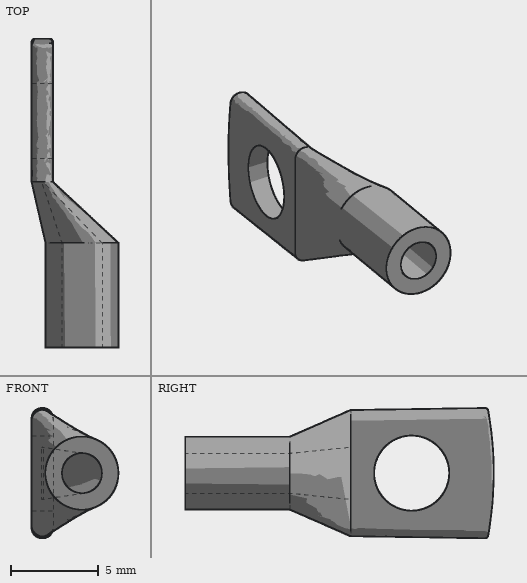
import cadquery as cq
import math

barrel_diameter = 4.2
bore_diameter = 2.3
barrel_length = 6.0
transition_length = 3.5
overall_length = 17.72
overall_width = 5.0

palm_thickness = 1.25
palm_root_height = 7.26
palm_tip_height = 7.51
tip_arc_radius = 20.0
tip_edge_fillet = 0.2

stud_hole_diameter = 4.3
stud_hole_y = 13.0

slit_thickness = 0.1
slit_height = 3.0

barrel_radius = barrel_diameter / 2
barrel_axis_x = overall_width - barrel_radius
palm_mid_x = palm_thickness / 2
palm_root_y = barrel_length + transition_length


def section_plane(y, x):
    """Cross-section plane at distance y along the part, with its local x along global X."""
    return cq.Plane(origin=(x, y, 0), xDir=(1, 0, 0), normal=(0, -1, 0))


def flat_section(y, height, thickness):
    """Upright flat bar section with fully rounded top and bottom edges."""
    half = thickness / 2
    straight = height / 2 - half
    outline = (
        cq.Workplane(section_plane(y, palm_mid_x))
        .moveTo(half, -straight)
        .lineTo(half, straight)
        .threePointArc((0, height / 2), (-half, straight))
        .lineTo(-half, -straight)
        .threePointArc((0, -height / 2), (half, -straight))
        .close()
    )
    return outline.val()


def round_section(y, diameter, flat_height, flat_thickness):
    """Circle on the barrel axis, split into four arcs that pair with a flat section.

    The arcs share the circle in the same ratio as the straight sides and rounded
    edges share the flat outline, so a loft between the two spreads evenly.
    """
    radius = diameter / 2
    straight_length = flat_height - flat_thickness
    edge_length = math.pi * flat_thickness / 2
    split_angle = 90 * straight_length / (straight_length + edge_length)

    def point(angle):
        return (radius * math.cos(math.radians(angle)), radius * math.sin(math.radians(angle)))

    outline = cq.Workplane(section_plane(y, barrel_axis_x)).moveTo(*point(-split_angle))
    for middle, end in (
        (0, split_angle),
        (90, 180 - split_angle),
        (180, 180 + split_angle),
        (270, 360 - split_angle),
    ):
        outline = outline.threePointArc(point(middle), point(end))
    return outline.close().val()


def ruled_loft(first, second):
    """Solid with straight rulings between two closed outlines."""
    return cq.Workplane(cq.Solid.makeLoft([first, second], True))


def barrel_cylinder(diameter):
    """Cylinder on the barrel axis, as long as the barrel."""
    return cq.Workplane(section_plane(0, barrel_axis_x)).circle(diameter / 2).extrude(-barrel_length)


def make_palm():
    """Slightly flaring flat palm with rounded sides and a curved, filleted tip."""
    palm = ruled_loft(
        flat_section(palm_root_y, palm_root_height, palm_thickness),
        flat_section(overall_length, palm_tip_height, palm_thickness),
    )
    tip_trim = (
        cq.Workplane("YZ")
        .center(overall_length - tip_arc_radius, 0)
        .circle(tip_arc_radius)
        .extrude(palm_thickness)
    )
    palm = palm.intersect(tip_trim)
    return palm.faces(">Y").edges().fillet(tip_edge_fillet)


def make_transition():
    """Solid neck blending the round barrel into the offset flat palm."""
    return ruled_loft(
        round_section(barrel_length, barrel_diameter, palm_root_height, palm_thickness),
        flat_section(palm_root_y, palm_root_height, palm_thickness),
    )


def make_cavity():
    """Wire bore that flattens to a closed slit at the palm root."""
    taper = ruled_loft(
        round_section(barrel_length, bore_diameter, slit_height, slit_thickness),
        flat_section(palm_root_y, slit_height, slit_thickness),
    )
    return barrel_cylinder(bore_diameter).union(taper)


def make_stud_hole():
    """Cutter for the stud hole through the palm."""
    return (
        cq.Workplane("YZ")
        .center(stud_hole_y, 0)
        .circle(stud_hole_diameter / 2)
        .extrude(palm_thickness)
    )


body = barrel_cylinder(barrel_diameter).union(make_transition()).union(make_palm())
result = body.cut(make_cavity()).cut(make_stud_hole())